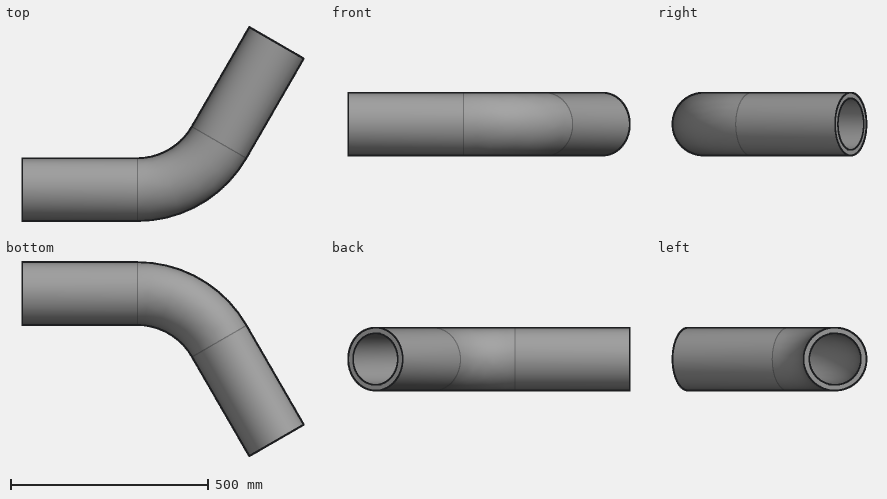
import cadquery as cq
import math

overall_length = 714.0
outer_diameter = 160.0
bore_diameter = 131.0
bend_angle = 60.0
bend_radius = 1.5 * outer_diameter

sin_bend = math.sin(math.radians(bend_angle))
cos_bend = math.cos(math.radians(bend_angle))
outer_bend_radius = bend_radius + outer_diameter / 2
leg_length = (overall_length - outer_bend_radius * sin_bend) / (1 + cos_bend)


def centreline():
    """Straight leg along +X, arc turning toward +Y, then the second leg."""
    half_bend = math.radians(bend_angle / 2)
    arc_middle = (
        leg_length + bend_radius * math.sin(half_bend),
        bend_radius * (1 - math.cos(half_bend)),
    )
    arc_end = (
        leg_length + bend_radius * sin_bend,
        bend_radius * (1 - cos_bend),
    )
    leg_end = (
        arc_end[0] + leg_length * cos_bend,
        arc_end[1] + leg_length * sin_bend,
    )
    return (
        cq.Workplane("XY")
        .lineTo(leg_length, 0)
        .threePointArc(arc_middle, arc_end)
        .lineTo(*leg_end)
    )


result = (
    cq.Workplane("YZ")
    .circle(outer_diameter / 2)
    .circle(bore_diameter / 2)
    .sweep(centreline())
)